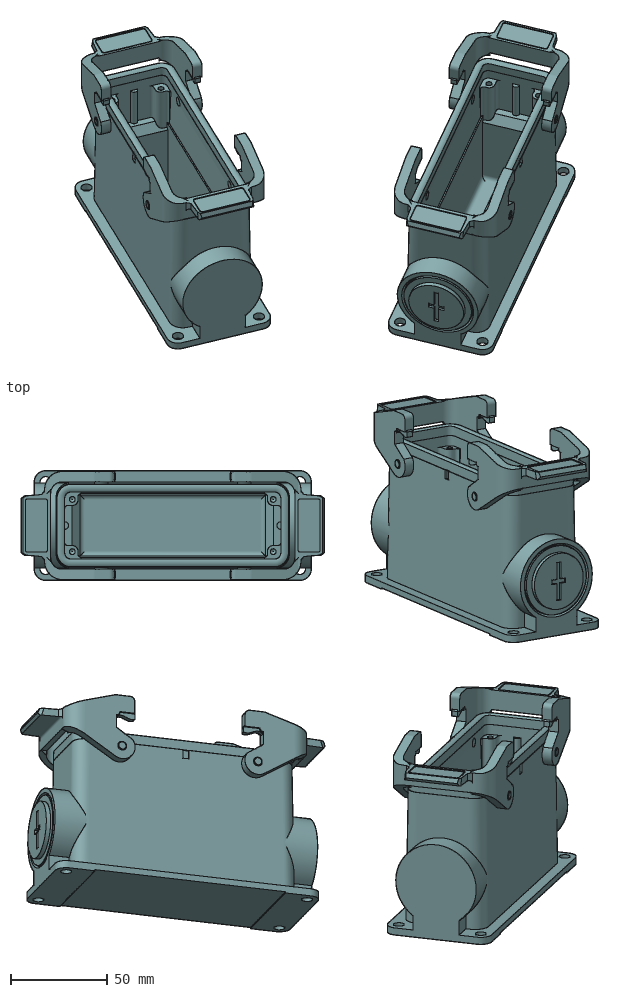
import cadquery as cq
import math

PLATE_X = 143.9
PLATE_Y = 57.0
PLATE_TOP = 4.0
PLATE_CORNER = 6.0
MOUNT_HOLE_D = 5.7
MOUNT_X = PLATE_X / 2 - PLATE_CORNER
MOUNT_Y = PLATE_Y / 2 - PLATE_CORNER
RELIEF_X = 104.2
RELIEF_DEPTH = 0.6

WALL_X = 122.1
WALL_Y = 45.0
WALL_TOP = 75.2
WALL_CORNER = 7.4
WALL_LEAN = 1.0
NOTCH_WIDTH = 3.3
NOTCH_HEIGHT = 4.7
NOTCH_INNER_Y = 20.5

MOUTH_X = 112.0
MOUTH_Y = 34.6
MOUTH_CORNER = 3.1
POST_TOP = 69.7
SHELF_Z = 48.8
SHELF_Y = 33.0
SHELF_BEVEL = 4.2
WELL_X = 96.0
WELL_Y = 31.5
FLOOR_Z = 4.0
FLOOR_FILLET = 2.4

POST_INNER_X = 49.1
POST_INNER_Y = 10.4
POST_ROUND = 3.0
POST_FILLET = 1.5
POST_OVERLAP = 1.5
SCREW_HOLE_D = 3.0
SCREW_HOLE_DEPTH = 7.9
DRILL_POINT = 1.0
DRILL_TIP_D = 0.08
SCREW_X = 52.1
SCREW_Y = 13.5
RIB_D = 4.0

BOSS_Z = 29.9
BOSS_D = 44.2
BOSS_FACE_X = PLATE_X / 2
BOSS_ROOT_X = 52.0
PEDESTAL_Y = 25.3
PLUG_SEAT_D = 37.5
PLUG_SEAT_DEPTH = 3.1
PLUG_SEAT_CHAMFER = 1.0
CHAMFER_SHARE = 0.999
PLUG_FLANGE_D = 37.0
PLUG_HEAD_D = 30.0
PLUG_HEAD_HEIGHT = 2.4
SLOT_WIDTH = 2.4
SLOT_LONG = 20.5
SLOT_SHORT = 8.3
SLOT_DEPTH = 1.3

GASKET_X = 120.0
GASKET_Y = 42.7
GASKET_TOP = 80.9
GASKET_CROWN = 0.6

PIVOT_X = 37.1
PIVOT_Z = 71.0
PIVOT_EYE_R = 7.1
LEVER_TOP = 98.8
LEVER_BACK_X = 66.5
LEVER_BACK_TOP = 91.6
LEVER_BACK_BOTTOM = 80.7
LEVER_SLOPE_X = 65.2
LEVER_CREST_X = 40.8
CREST_ROUND = 3.5
HOOK_TIP_X = 30.2
HOOK_CORNER = 2.5
HOOK_UNDER_Z = 89.7
THROAT_X = 40.1
THROAT_BOTTOM = 80.9
THROAT_ROUND = 1.9
EYE_SHOULDER_DEG = 34.0
EYE_MIDDLE_DEG = -45.0
LEVER_OUTER_Y = 28.0
LEVER_INNER_Y = 22.7
LEVER_INNER_X = 63.3
LEVER_OUTER_ROUND = 9.1
LEVER_INNER_ROUND = 6.0
CROSS_WALL_DROP = 2.5
CROSS_WALL_BLEND = 1.9
NIB_INSET = 1.1
NIB_OVERLAP = 0.8
NIB_LOW_Z = 86.9
NIB_CREST_Z = 88.1
NIB_WAVE = 3.1
NIB_REACH = 0.5
PIN_D = 4.7
PIN_CHAMFER = 0.4
PIN_END_Y = 28.5
SPACER_D = 7.0

HANDLE_TIP_X = 78.7
HANDLE_BOTTOM = 87.7
HANDLE_NOSE_Z = 89.2
HANDLE_NOSE = 1.1
HANDLE_TIP_Y = 15.5
HANDLE_TIP_CHAMFER_Y = 1.4
HANDLE_TIP_CHAMFER_TOP = 3.0
HANDLE_TIP_CHAMFER_BOTTOM = 1.3
HANDLE_ROOT_X = 68.0
HANDLE_ROOT_Y = 16.0
HANDLE_GUSSET_Y = 18.1
HANDLE_ROOT_FILLET = 1.4
PANEL_OUTER_X = 76.5
PANEL_INNER_X = 65.0
PANEL_Y = 27.7
PANEL_CORNER = 1.3
PANEL_DEPTH = 0.5


def rounded_block(length, width, radius, bottom, top):
    """Upright block with rounded corners, centred on the Z axis."""
    return (
        cq.Workplane("XY", origin=(0, 0, bottom))
        .rect(length, width).extrude(top - bottom)
        .edges("|Z").fillet(radius)
    )


def rounded_outline(length, width, radius):
    return cq.Sketch().rect(length, width).vertices().fillet(radius)


def loft_between(lower, upper, bottom, top):
    """Solid that changes steadily from one outline to another over its height."""
    raised = upper.moved(cq.Location(cq.Vector(0, 0, top - bottom)))
    return cq.Workplane("XY", origin=(0, 0, bottom)).placeSketch(lower, raised).loft()


def box_between(x0, x1, y0, y1, z0, z1):
    """Box given by its limits along the three axes."""
    return cq.Workplane("XY").box(x1 - x0, y1 - y0, z1 - z0, centered=False).translate((x0, y0, z0))


def rod_along_x(diameter, x0, x1, z):
    return cq.Workplane("YZ", origin=(x0, 0, z)).circle(diameter / 2).extrude(x1 - x0)


def rod_along_y(diameter, y0, y1):
    """Rod on the pivot line of the lever at the -X end."""
    plane = cq.Plane(origin=(-PIVOT_X, y0, PIVOT_Z), xDir=(1, 0, 0), normal=(0, 1, 0))
    return cq.Workplane(plane).circle(diameter / 2).extrude(y1 - y0)


def both_ends(shape):
    """A feature at the -X end together with its mirror copy at the +X end."""
    return shape.union(shape.mirror("YZ"))


def both_sides(shape):
    """A feature at the +Y side together with its mirror copy at the -Y side."""
    return shape.union(shape.mirror("XZ"))


def make_base_plate():
    plate = rounded_block(PLATE_X, PLATE_Y, PLATE_CORNER, 0, PLATE_TOP)
    relief = cq.Workplane("XY").rect(RELIEF_X, PLATE_Y).extrude(RELIEF_DEPTH)
    holes = (
        cq.Workplane("XY")
        .rect(2 * MOUNT_X, 2 * MOUNT_Y, forConstruction=True).vertices()
        .circle(MOUNT_HOLE_D / 2).extrude(PLATE_TOP)
    )
    return plate.cut(relief).cut(holes)


def make_walls():
    """Solid block with leaning sides and corners of one radius throughout."""
    height = WALL_TOP - PLATE_TOP
    draft = math.degrees(math.atan(WALL_LEAN / height))
    return (
        cq.Workplane("XY", origin=(0, 0, PLATE_TOP))
        .rect(WALL_X, WALL_Y).extrude(height, taper=draft)
        .edges("not(|X or |Y)").fillet(WALL_CORNER)
    )


def make_bosses():
    boss = rod_along_x(BOSS_D, -BOSS_FACE_X, -BOSS_ROOT_X, BOSS_Z)
    pedestal = box_between(-BOSS_FACE_X, -BOSS_ROOT_X, -PEDESTAL_Y / 2, PEDESTAL_Y / 2, PLATE_TOP, BOSS_Z)
    return both_ends(boss.union(pedestal))


def make_cavity():
    mouth = rounded_block(MOUTH_X, MOUTH_Y, MOUTH_CORNER, POST_TOP, WALL_TOP)
    middle = loft_between(
        rounded_outline(MOUTH_X, SHELF_Y, MOUTH_CORNER),
        rounded_outline(MOUTH_X, MOUTH_Y, MOUTH_CORNER),
        SHELF_Z, POST_TOP,
    )
    well = (
        cq.Workplane("XY", origin=(0, 0, FLOOR_Z))
        .rect(WELL_X, WELL_Y).extrude(SHELF_Z - FLOOR_Z)
        .faces("<Z").edges().fillet(FLOOR_FILLET)
    )
    bevel_run = WELL_X / 2 + SHELF_BEVEL
    bevel = (
        cq.Workplane("XZ", origin=(0, WELL_Y / 2, 0))
        .moveTo(-bevel_run, SHELF_Z).lineTo(bevel_run, SHELF_Z)
        .lineTo(WELL_X / 2, SHELF_Z - SHELF_BEVEL).lineTo(-WELL_X / 2, SHELF_Z - SHELF_BEVEL)
        .close().extrude(WELL_Y)
    )
    return mouth.union(middle).union(well).union(bevel)


def make_posts():
    """Four screw posts, rounded towards the cavity, merging into its corners."""
    buried_x = MOUTH_X / 2 + POST_OVERLAP
    buried_y = MOUTH_Y / 2 + POST_OVERLAP
    side_y = SHELF_Y / 2
    end_x = MOUTH_X / 2
    post = (
        cq.Workplane("XY", origin=(0, 0, SHELF_Z - SHELF_BEVEL))
        .moveTo(-buried_x, buried_y)
        .lineTo(-POST_INNER_X + POST_FILLET, buried_y)
        .lineTo(-POST_INNER_X + POST_FILLET, side_y)
        .radiusArc((-POST_INNER_X, side_y - POST_FILLET), -POST_FILLET)
        .lineTo(-POST_INNER_X, POST_INNER_Y + POST_ROUND)
        .radiusArc((-POST_INNER_X - POST_ROUND, POST_INNER_Y), POST_ROUND)
        .lineTo(-end_x + POST_FILLET, POST_INNER_Y)
        .radiusArc((-end_x, POST_INNER_Y - POST_FILLET), -POST_FILLET)
        .lineTo(-buried_x, POST_INNER_Y - POST_FILLET)
        .close().extrude(POST_TOP - SHELF_Z + SHELF_BEVEL)
    )
    screw_hole = (
        cq.Workplane("XY", origin=(-SCREW_X, SCREW_Y, POST_TOP))
        .circle(SCREW_HOLE_D / 2).extrude(-SCREW_HOLE_DEPTH)
        .faces("<Z").workplane().circle(SCREW_HOLE_D / 2).workplane(offset=DRILL_POINT)
        .circle(DRILL_TIP_D / 2).loft()
    )
    return both_ends(both_sides(post.cut(screw_hole)))


def make_ribs():
    """Half-round rib on the middle of each end wall."""
    rib = (
        cq.Workplane("XY", origin=(-MOUTH_X / 2, 0, SHELF_Z))
        .circle(RIB_D / 2).extrude(POST_TOP - SHELF_Z)
    )
    return both_ends(rib)


def make_plug_seat():
    seat = rod_along_x(PLUG_SEAT_D, -BOSS_FACE_X, -BOSS_FACE_X + PLUG_SEAT_DEPTH, BOSS_Z)
    mouth = rod_along_x(
        PLUG_SEAT_D + 2 * PLUG_SEAT_CHAMFER, -BOSS_FACE_X, -BOSS_FACE_X + PLUG_SEAT_CHAMFER, BOSS_Z
    )
    mouth = mouth.faces(">X").edges().chamfer(PLUG_SEAT_CHAMFER * CHAMFER_SHARE)
    return seat.union(mouth)


def make_housing():
    body = make_base_plate().union(make_walls()).union(make_bosses())
    body = body.cut(make_cavity()).union(make_posts()).union(make_ribs())
    notch = box_between(
        -NOTCH_WIDTH / 2, NOTCH_WIDTH / 2, NOTCH_INNER_Y, WALL_Y / 2, WALL_TOP - NOTCH_HEIGHT, WALL_TOP
    )
    pin_holes = both_ends(both_sides(rod_along_y(PIN_D, SHELF_Y / 2, WALL_Y / 2)))
    return body.cut(both_sides(notch)).cut(pin_holes).cut(make_plug_seat())


def make_gasket():
    """Ring on the wall top with a slightly domed upper face."""
    width = (GASKET_X - MOUTH_X) / 2
    shoulder = GASKET_TOP - GASKET_CROWN
    outer_round = MOUTH_CORNER + width
    path = rounded_block(GASKET_X, GASKET_Y, outer_round, WALL_TOP, shoulder).faces("<Z").wires()
    section = (
        cq.Workplane("YZ")
        .moveTo(GASKET_Y / 2, WALL_TOP).lineTo(GASKET_Y / 2, shoulder)
        .threePointArc((GASKET_Y / 2 - width / 2, GASKET_TOP), (GASKET_Y / 2 - width, shoulder))
        .lineTo(GASKET_Y / 2 - width, WALL_TOP).close()
    )
    return section.sweep(path)


def make_plug():
    flange = rod_along_x(PLUG_FLANGE_D, -BOSS_FACE_X, -BOSS_FACE_X + PLUG_SEAT_DEPTH, BOSS_Z)
    head_x = -BOSS_FACE_X - PLUG_HEAD_HEIGHT
    head = rod_along_x(PLUG_HEAD_D, head_x, -BOSS_FACE_X, BOSS_Z)
    slots = (
        cq.Workplane("YZ", origin=(head_x, 0, BOSS_Z)).rect(SLOT_WIDTH, SLOT_LONG).extrude(SLOT_DEPTH)
        .union(cq.Workplane("YZ", origin=(head_x, 0, BOSS_Z)).rect(SLOT_SHORT, SLOT_WIDTH).extrude(SLOT_DEPTH))
    )
    return flange.union(head).cut(slots)


def side_plane(y):
    """Workplane drawn in distance towards -X and in Z, whose extrusions run from y towards +Y."""
    return cq.Workplane(cq.Plane(origin=(0, y, 0), xDir=(-1, 0, 0), normal=(0, 1, 0)))


def eye_point(angle_deg):
    """Point on the pivot eye, as distance from the middle plane and height."""
    angle = math.radians(angle_deg)
    return PIVOT_X - PIVOT_EYE_R * math.cos(angle), PIVOT_Z + PIVOT_EYE_R * math.sin(angle)


def lower_tangent_angle():
    """Direction from the pivot at which the lever's lower edge runs into the eye."""
    run = LEVER_BACK_X - PIVOT_X
    rise = LEVER_BACK_BOTTOM - PIVOT_Z
    to_corner = math.atan2(rise, -run)
    return math.degrees(to_corner + math.acos(PIVOT_EYE_R / math.hypot(run, rise)))


def make_lever_profile():
    """Side shape of the lever, as wide as both arms."""
    profile = (
        side_plane(-LEVER_OUTER_Y)
        .moveTo(LEVER_BACK_X, LEVER_BACK_BOTTOM)
        .lineTo(LEVER_BACK_X, LEVER_BACK_TOP)
        .lineTo(LEVER_SLOPE_X, LEVER_BACK_TOP)
        .lineTo(LEVER_CREST_X, LEVER_TOP)
        .lineTo(HOOK_TIP_X + HOOK_CORNER, LEVER_TOP)
        .radiusArc((HOOK_TIP_X, LEVER_TOP - HOOK_CORNER), -HOOK_CORNER)
        .lineTo(HOOK_TIP_X, HOOK_UNDER_Z)
        .lineTo(THROAT_X - THROAT_ROUND, HOOK_UNDER_Z)
        .radiusArc((THROAT_X, HOOK_UNDER_Z - THROAT_ROUND), -THROAT_ROUND)
        .lineTo(THROAT_X, THROAT_BOTTOM)
        .lineTo(*eye_point(EYE_SHOULDER_DEG))
        .threePointArc(eye_point(EYE_MIDDLE_DEG), eye_point(lower_tangent_angle()))
        .close().extrude(2 * LEVER_OUTER_Y)
    )
    crest = cq.selectors.NearestToPointSelector((-LEVER_CREST_X, 0, LEVER_TOP))
    return profile.edges(crest).fillet(CREST_ROUND)


def make_cross_wall_trim():
    """Waste above and below the cross wall that leaves its two edges level between the corners."""
    flat_y = LEVER_INNER_Y - LEVER_INNER_ROUND
    blend_y = flat_y + CROSS_WALL_BLEND
    inner_rise = (
        (LEVER_TOP - LEVER_BACK_TOP) * (LEVER_SLOPE_X - LEVER_INNER_X) / (LEVER_SLOPE_X - LEVER_CREST_X)
    )

    def trim(level, blend_level):
        return (
            cq.Workplane("YZ", origin=(-LEVER_BACK_X, 0, 0))
            .polyline([(-flat_y, level), (flat_y, level), (blend_y, blend_level), (-blend_y, blend_level)])
            .close().extrude(LEVER_BACK_X - LEVER_INNER_X)
        )

    above = trim(LEVER_BACK_TOP, LEVER_BACK_TOP + inner_rise)
    below = trim(LEVER_BACK_BOTTOM, LEVER_BACK_BOTTOM - CROSS_WALL_DROP)
    return above.union(below)


def make_lever_plan():
    """U shape of the lever seen along Z: cross wall with rounded corners and two arms."""
    outer = (
        box_between(-LEVER_BACK_X, 0, -LEVER_OUTER_Y, LEVER_OUTER_Y, 0, LEVER_TOP)
        .edges("|Z and <X").fillet(LEVER_OUTER_ROUND)
    )
    inner = (
        box_between(-LEVER_INNER_X, 0, -LEVER_INNER_Y, LEVER_INNER_Y, 0, LEVER_TOP)
        .edges("|Z and <X").fillet(LEVER_INNER_ROUND)
    )
    return outer.cut(inner)


def make_nibs():
    """Wavy catch under each hook, narrower than the arm."""
    nib_top = HOOK_UNDER_Z + NIB_OVERLAP
    wave = [
        (THROAT_X - NIB_WAVE, NIB_CREST_Z),
        (HOOK_TIP_X + NIB_WAVE, NIB_LOW_Z),
        (HOOK_TIP_X - NIB_REACH, NIB_LOW_Z),
    ]
    nib = (
        side_plane(LEVER_INNER_Y + NIB_INSET)
        .moveTo(HOOK_TIP_X + HOOK_CORNER, nib_top)
        .lineTo(THROAT_X, nib_top)
        .lineTo(THROAT_X, NIB_LOW_Z)
        .spline(wave, includeCurrent=True)
        .lineTo(HOOK_TIP_X - NIB_REACH, HOOK_UNDER_Z)
        .lineTo(HOOK_TIP_X, nib_top)
        .close().extrude(LEVER_OUTER_Y - LEVER_INNER_Y - 2 * NIB_INSET)
    )
    return both_sides(nib)


def handle_outline(tip_chamfer):
    """Plan of the finger plate; tip_chamfer is the length of its corner cuts along X."""
    half = [
        (-HANDLE_TIP_X, HANDLE_TIP_Y - HANDLE_TIP_CHAMFER_Y),
        (-HANDLE_TIP_X + tip_chamfer, HANDLE_TIP_Y),
        (-HANDLE_ROOT_X, HANDLE_ROOT_Y),
        (-LEVER_BACK_X, HANDLE_GUSSET_Y),
        (-LEVER_INNER_X, HANDLE_GUSSET_Y),
    ]
    other_half = [(x, -y) for x, y in reversed(half)]
    return cq.Sketch().polygon(half + other_half + half[:1])


def make_handle():
    """Finger plate with a pointed nose and gussets at its root."""
    side = (
        side_plane(-HANDLE_GUSSET_Y)
        .moveTo(LEVER_BACK_X, LEVER_BACK_TOP)
        .lineTo(HANDLE_TIP_X - HANDLE_NOSE, LEVER_BACK_TOP)
        .lineTo(HANDLE_TIP_X, HANDLE_NOSE_Z)
        .lineTo(HANDLE_TIP_X - HANDLE_NOSE, HANDLE_BOTTOM)
        .lineTo(LEVER_BACK_X + HANDLE_ROOT_FILLET, HANDLE_BOTTOM)
        .radiusArc((LEVER_BACK_X, HANDLE_BOTTOM - HANDLE_ROOT_FILLET), -HANDLE_ROOT_FILLET)
        .lineTo(LEVER_INNER_X, HANDLE_BOTTOM - HANDLE_ROOT_FILLET)
        .lineTo(LEVER_INNER_X, LEVER_BACK_TOP)
        .close().extrude(2 * HANDLE_GUSSET_Y)
    )
    plan = loft_between(
        handle_outline(HANDLE_TIP_CHAMFER_BOTTOM), handle_outline(HANDLE_TIP_CHAMFER_TOP),
        HANDLE_BOTTOM - HANDLE_ROOT_FILLET, LEVER_BACK_TOP,
    )
    return side.intersect(plan)


def make_handle_panel():
    """Shallow recess in the top of the finger plate."""
    return (
        box_between(
            -PANEL_OUTER_X, -PANEL_INNER_X, -PANEL_Y / 2, PANEL_Y / 2,
            LEVER_BACK_TOP - PANEL_DEPTH, LEVER_BACK_TOP,
        )
        .edges("|Z").fillet(PANEL_CORNER)
    )


def make_pins():
    """Pivot pins through the housing walls, with a spacer inside each arm."""
    pin = rod_along_y(PIN_D, MOUTH_Y / 2, PIN_END_Y).faces(">Y").chamfer(PIN_CHAMFER)
    spacer_low = PIVOT_Z - SPACER_D / 2
    wall_y = WALL_Y / 2 - WALL_LEAN * (spacer_low - PLATE_TOP) / (WALL_TOP - PLATE_TOP)
    return both_sides(pin.union(rod_along_y(SPACER_D, wall_y, LEVER_INNER_Y)))


def make_lever():
    """Lever at the -X end."""
    lever = make_lever_profile().intersect(make_lever_plan()).cut(make_cross_wall_trim())
    lever = lever.union(make_nibs()).union(make_handle()).union(make_pins())
    return lever.cut(make_handle_panel())


housing = make_housing()
gasket = make_gasket()
plug = make_plug()
left_lever = make_lever()
levers = [left_lever, left_lever.mirror("YZ")]

result = cq.Compound.makeCompound(
    [housing.val(), gasket.val(), plug.val(), *[each.val() for each in levers]]
)